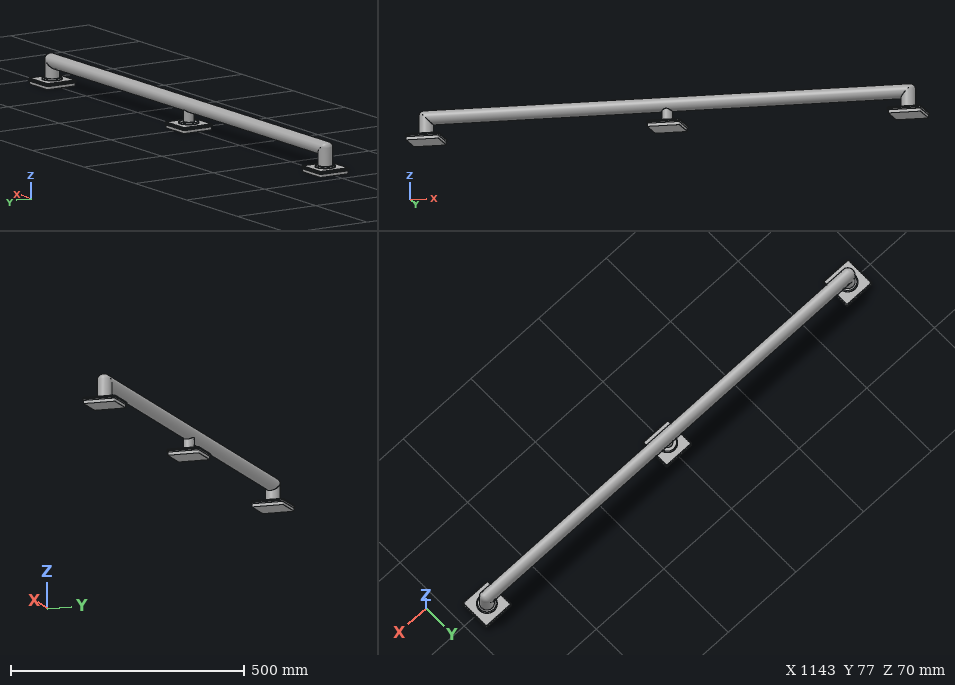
import cadquery as cq
import math

length = 1143.0
height = 70.0
tube_diameter = 32.0
tube_radius = tube_diameter / 2

plate_size = 77.0
plate_corner_radius = 5.0
plate_top = 14.0
lip_thickness = 7.0
lip_bevel_width = 3.0
lip_bevel_height = 2.0
base_inset = 2.0

collar_diameter = 45.0
collar_height = 3.0
collar_bevel = 2.0
post_diameter = 24.0

bend_radius = 11.0

leg_x = (length - plate_size) / 2
tube_z = height - tube_radius
lip_bottom = plate_top - lip_thickness

outer_x = -leg_x - tube_radius
bend_x = outer_x + bend_radius
bend_z = height - bend_radius


def wall_plate(x):
    """Square plate with an overhanging lip, bevelled above and below, and a bevelled round collar."""
    base_size = plate_size - 2 * base_inset
    base = (
        cq.Workplane("XY")
        .rect(base_size, base_size)
        .extrude(plate_top)
        .edges("|Z")
        .fillet(plate_corner_radius - base_inset)
    )
    lip = (
        cq.Workplane("XY", origin=(0, 0, lip_bottom))
        .rect(plate_size, plate_size)
        .extrude(lip_thickness)
        .edges("|Z")
        .fillet(plate_corner_radius)
        .faces(">Z")
        .edges()
        .chamfer(lip_bevel_height, lip_bevel_width)
        .faces("<Z")
        .chamfer(base_inset)
    )
    collar = (
        cq.Workplane("XY")
        .circle(collar_diameter / 2)
        .extrude(plate_top + collar_height)
        .faces(">Z")
        .chamfer(collar_bevel)
    )
    return base.union(lip).union(collar).translate((x, 0, 0))


def bar_segment(straight_run, side_outline):
    """Part of a straight run that lies inside an XZ outline."""
    side = cq.Workplane("XZ").polyline(side_outline).close().extrude(tube_radius, both=True)
    return straight_run.intersect(side)


def tube():
    """Horizontal tube with both ends cut on the 45 degree mitre planes."""
    run = cq.Workplane("YZ", origin=(outer_x, 0, tube_z)).circle(tube_radius).extrude(-2 * outer_x)
    outline = [
        (bend_x, height),
        (bend_x, bend_z),
        (bend_x + bend_z, 0),
        (-bend_x - bend_z, 0),
        (-bend_x, bend_z),
        (-bend_x, height),
    ]
    return bar_segment(run, outline)


def left_leg():
    """Upright leg mitred to the tube, with a rounded outer corner."""
    run = cq.Workplane("XY", origin=(-leg_x, 0, 0)).circle(tube_radius).extrude(height)
    outline = [
        (outer_x, 0),
        (outer_x, bend_z),
        (bend_x, bend_z),
        (bend_x + bend_z, 0),
    ]

    segment_half_width = math.sqrt(tube_radius**2 - (tube_radius - bend_radius) ** 2)
    corner = (
        cq.Workplane("XY", origin=(bend_x, 0, bend_z))
        .moveTo(0, -segment_half_width)
        .threePointArc((-bend_radius, 0), (0, segment_half_width))
        .close()
        .revolve(90, (0, 0), (0, 1))
    )
    return bar_segment(run, outline).union(corner)


def middle_post():
    return cq.Workplane("XY").circle(post_diameter / 2).extrude(tube_z)


leg = left_leg()
result = tube().union(leg).union(leg.mirror("YZ")).union(middle_post())
for plate_x in (-leg_x, 0, leg_x):
    result = result.union(wall_plate(plate_x))